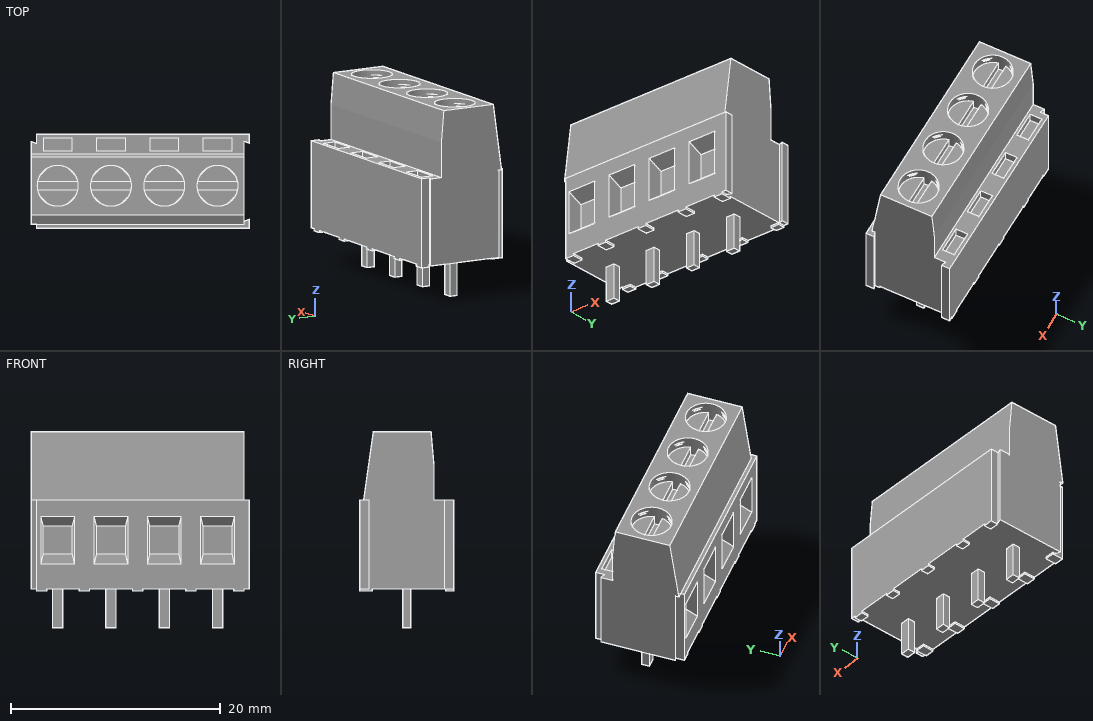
import cadquery as cq
import math

poles = 4
pitch = 5.08
housing_length = poles * pitch
housing_depth = 9.0
housing_height = 15.0
shoulder_height = 8.5
pole_centres = [pitch * (i + 0.5) for i in range(poles)]

dovetail_reach = 0.5
dovetail_root = 0.7
dovetail_tip = 0.88

crown_front_bottom = 0.38
crown_front_top = 1.3
crown_back_top = 6.83
crown_back_bottom = 7.1
back_taper_start = 11.9

screw_y = 4.07
well_radius = 1.95
well_depth = 1.2
screw_slot_width = 0.8
screw_slot_depth = 1.0

bump_count = 4
bump_start_angle = 45.0
bump_top_chord = 1.0
bump_bottom_chord = 0.65
bump_height = 0.25
bump_top_below_rim = 0.5

entry_width = 3.22
entry_bottom = 2.37
entry_top = 6.9
entry_inner_width = 2.77
entry_inner_bottom = 3.33
entry_inner_top = 6.0
entry_depth = 1.45

pocket_width = 2.75
pocket_length = 1.25
pocket_y = 8.0
pocket_depth = 1.0

foot_width = 1.0
foot_height = 0.2
front_foot_length = 1.22
back_foot_length = 0.8
pin_width = 1.0
pin_thickness = 0.8
pin_length = 3.7
pin_y = 4.5


def box(x_min, x_max, y_min, y_max, z_min, z_max):
    """Axis-aligned box given by its limits."""
    size = (x_max - x_min, y_max - y_min, z_max - z_min)
    return cq.Workplane("XY").box(*size, centered=False).translate((x_min, y_min, z_min))


def make_base():
    """Lower housing, with its dovetail notches and lugs in the plan outline."""
    right = housing_length
    back = housing_depth
    outline = [
        (dovetail_reach, 0),
        (right + dovetail_reach, 0),
        (right + dovetail_reach, dovetail_tip),
        (right, dovetail_root),
        (right, back - dovetail_root),
        (right + dovetail_reach, back - dovetail_tip),
        (right + dovetail_reach, back),
        (dovetail_reach, back),
        (dovetail_reach, back - dovetail_tip),
        (0, back - dovetail_root),
        (0, dovetail_root),
        (dovetail_reach, dovetail_tip),
    ]
    return cq.Workplane("XY").polyline(outline).close().extrude(shoulder_height)


def make_crown():
    """Tapered upper block above the shoulder."""
    section = [
        (crown_front_bottom, shoulder_height),
        (crown_front_top, housing_height),
        (crown_back_top, housing_height),
        (crown_back_bottom, back_taper_start),
        (crown_back_bottom, shoulder_height),
    ]
    return cq.Workplane("YZ").polyline(section).close().extrude(housing_length)


def chord_distance(chord):
    """Distance from the well axis to a chord of the given length."""
    return math.sqrt(well_radius**2 - (chord / 2) ** 2)


def make_bump():
    """Bump standing in from a wall on the +X side, flat on top and narrowing downwards."""
    section = [
        (chord_distance(bump_top_chord), 0),
        (well_radius, 0),
        (well_radius, -bump_height),
        (chord_distance(bump_bottom_chord), -bump_height),
    ]
    return cq.Workplane("XZ").polyline(section).close().extrude(bump_top_chord / 2, both=True)


def make_screw_well():
    """Cutter for one well and its screw slot, with the rim centre at the origin."""
    slot_bottom = -well_depth - screw_slot_depth
    well = cq.Workplane("XY").circle(well_radius).extrude(-well_depth)
    bore = cq.Workplane("XY").circle(well_radius).extrude(slot_bottom)
    slot_half = screw_slot_width / 2
    slot = box(-well_radius, well_radius, -slot_half, slot_half, slot_bottom, -well_depth)
    cutter = well.union(slot.intersect(bore))
    bump = make_bump().translate((0, 0, -bump_top_below_rim))
    for i in range(bump_count):
        angle = bump_start_angle + i * 360 / bump_count
        cutter = cutter.cut(bump.rotate((0, 0, 0), (0, 0, 1), angle))
    return cutter


def make_wire_entry():
    """Cutter for one funnel-shaped wire entry, centred on X = 0."""
    height = entry_top - entry_bottom
    inner_height = entry_inner_top - entry_inner_bottom
    centre_z = (entry_top + entry_bottom) / 2
    inner_centre_z = (entry_inner_top + entry_inner_bottom) / 2
    return (
        cq.Workplane("XZ")
        .center(0, centre_z)
        .rect(entry_width, height)
        .workplane(offset=-entry_depth)
        .center(0, inner_centre_z - centre_z)
        .rect(entry_inner_width, inner_height)
        .loft(ruled=True)
    )


def make_pocket():
    """Cutter for one rectangular pocket in the rear ledge, centred on X = 0."""
    return (
        cq.Workplane("XY", origin=(0, pocket_y, shoulder_height))
        .rect(pocket_width, pocket_length)
        .extrude(-pocket_depth)
    )


def make_pin():
    """Solder pin below the housing, centred on X = 0."""
    return cq.Workplane("XY", origin=(0, pin_y, 0)).rect(pin_width, pin_thickness).extrude(-pin_length)


def add_feet(body):
    """Feet along both lower edges, between the poles and at both ends."""
    foot_starts = [dovetail_reach]
    foot_starts += [i * pitch - foot_width / 2 for i in range(1, poles)]
    foot_starts += [housing_length - foot_width]
    for x in foot_starts:
        body = body.union(box(x, x + foot_width, 0, front_foot_length, -foot_height, 0))
        back_start = housing_depth - back_foot_length
        body = body.union(box(x, x + foot_width, back_start, housing_depth, -foot_height, 0))
    return body


result = add_feet(make_base().union(make_crown()))
screw_well = make_screw_well().translate((0, screw_y, housing_height))
wire_entry = make_wire_entry()
pocket = make_pocket()
pin = make_pin()
for x in pole_centres:
    for cutter in (screw_well, wire_entry, pocket):
        result = result.cut(cutter.translate((x, 0, 0)))
    result = result.union(pin.translate((x, 0, 0)))